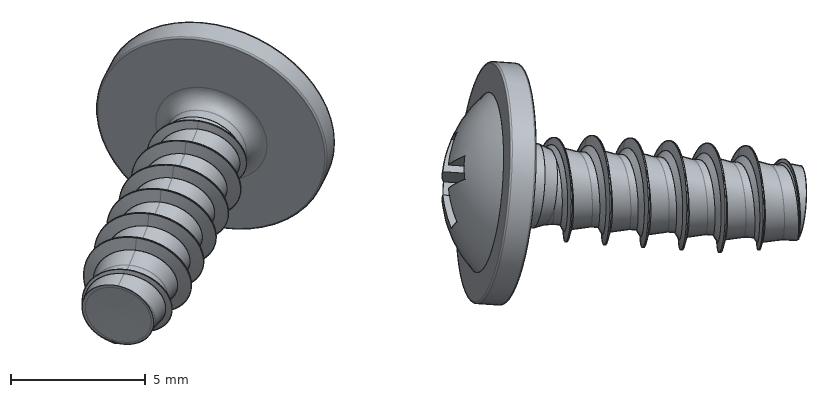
import cadquery as cq
import math


flange_diameter = 9.0
flange_radius = flange_diameter / 2
flange_thickness = 0.99
flange_edge_round = 0.07
dome_base_radius = 3.35
dome_height = 1.46

recess_slot_width = 0.9
recess_span_radius = 1.73
recess_depth = dome_height

shank_length = 11.0
neck_radius = 1.57
neck_length = 1.0
underhead_fillet = 0.6
root_radius = 1.38
neck_cone_length = 0.59
neck_cone_overlap = 0.03
tip_dish_radius = 1.29
tip_dish_depth = 0.08

pitch = 1.46
crest_radius = 2.01
entry_crest_radius = 1.53
faded_crest_radius = 1.42
ramp_start_radius = 1.53
kink_radius = 1.64
foot_setback = 0.3
kink_setback = 0.11
crest_width = 0.05
ramp_start_offset = 0.16
ramp_end_offset = 0.89
ramp_fade_share = 0.6
thread_start = 0.05
start_angle = math.pi / 2

rise_turns = 1.6
fade_start_turn = 6.1
fade_end_turn = 7.5

first_turn = -1
last_turn = 8
points_per_turn = 24


def head_and_neck():
    """Flange, dome, filleted neck and the cone that leads into the thread."""
    dome_radius = (dome_base_radius**2 + dome_height**2) / (2 * dome_height)
    dome_mid_radius = dome_base_radius / 2
    dome_drop = dome_radius - math.sqrt(dome_radius**2 - dome_mid_radius**2)
    apex = -flange_thickness - dome_height
    fillet_mid = underhead_fillet * (1 - math.sqrt(0.5))
    cone_end = neck_length + neck_cone_length

    flange = (
        cq.Workplane("XY")
        .circle(flange_radius)
        .extrude(-flange_thickness)
        .edges()
        .fillet(flange_edge_round)
    )
    body = (
        cq.Workplane("XZ")
        .moveTo(0, apex)
        .threePointArc((dome_mid_radius, apex + dome_drop), (dome_base_radius, -flange_thickness))
        .lineTo(neck_radius + underhead_fillet, -flange_thickness)
        .lineTo(neck_radius + underhead_fillet, 0)
        .threePointArc((neck_radius + fillet_mid, fillet_mid), (neck_radius, underhead_fillet))
        .lineTo(neck_radius, neck_length)
        .lineTo(root_radius - neck_cone_overlap, cone_end)
        .lineTo(0, cone_end)
        .close()
        .revolve(360, (0, 0, 0), (0, 1, 0))
    )
    return flange.union(body)


def crest_radius_at(turns):
    rise = min(max(turns / rise_turns, 0), 1)
    fall = min(max((turns - fade_start_turn) / (fade_end_turn - fade_start_turn), 0), 1)
    risen = entry_crest_radius + (crest_radius - entry_crest_radius) * rise
    return risen + (faded_crest_radius - crest_radius) * fall


def thread_section(turns):
    """Corners (radius, axial offset from the crest) from the head-side foot to the ramp's end."""
    crest = crest_radius_at(turns)
    height_share = (crest - root_radius) / (crest_radius - root_radius)
    ramp_share = min(1, height_share / ramp_fade_share)
    half_width = crest_width / 2 * height_share
    return [
        (root_radius, -foot_setback * height_share),
        (root_radius + (kink_radius - root_radius) * height_share, -kink_setback * height_share),
        (crest, -half_width),
        (crest, half_width),
        (root_radius + (ramp_start_radius - root_radius) * ramp_share, ramp_start_offset * height_share),
        (root_radius, ramp_end_offset),
    ]


def helix_point(turns, radius, offset):
    angle = start_angle + 2 * math.pi * turns
    height = thread_start + pitch * turns + offset
    return cq.Vector(radius * math.cos(angle), radius * math.sin(angle), height)


def section_points(turns):
    return [helix_point(turns, *corner) for corner in thread_section(turns)]


def turn_edges(turn):
    """One curve per section corner, running once around the axis."""
    steps = range(points_per_turn + 1)
    sections = [section_points(turn + i / points_per_turn) for i in steps]
    return [cq.Edge.makeSpline(list(corner_path)) for corner_path in zip(*sections)]


def on_axis(point):
    return cq.Vector(0, 0, point.z)


def spiral_end(rim):
    """Helicoid from a one-turn rim curve to the axis."""
    axis_line = cq.Edge.makeLine(on_axis(rim.startPoint()), on_axis(rim.endPoint()))
    return cq.Face.makeRuledSurface(rim, axis_line)


def radial_step(points):
    """Flat face in a plane through the axis, closing the step of a spiral end."""
    outline = [on_axis(points[0]), *points, on_axis(points[-1])]
    return cq.Face.makeFromWires(cq.Wire.makePolygon(outline, close=True))


def threaded_body():
    """Root and right-handed thread as one solid, trimmed flat at the neck and at the tip."""
    turns = [turn_edges(turn) for turn in range(first_turn, last_turn)]
    faces = []
    for edges in turns:
        for edge, next_edge in zip(edges, edges[1:]):
            faces.append(cq.Face.makeRuledSurface(edge, next_edge))
    for edges, next_edges in zip(turns, turns[1:]):
        faces.append(cq.Face.makeRuledSurface(edges[-1], next_edges[0]))

    first_rim = turns[0][0]
    last_rim = turns[-1][-1]
    faces.append(spiral_end(first_rim))
    faces.append(spiral_end(last_rim))
    faces.append(radial_step(section_points(first_turn) + [first_rim.endPoint()]))
    faces.append(radial_step([last_rim.startPoint()] + section_points(last_turn)))

    body = cq.Workplane(cq.Solid.makeSolid(cq.Shell.makeShell(faces)))
    threaded_stretch = (
        cq.Workplane("XY", origin=(0, 0, neck_length))
        .circle(2 * crest_radius)
        .extrude(shank_length - neck_length)
    )
    return body.intersect(threaded_stretch)


def cross_recess():
    apex = -flange_thickness - dome_height
    span = 2 * recess_span_radius
    top = cq.Workplane("XY", origin=(0, 0, apex))
    slot = top.rect(span, recess_slot_width).extrude(recess_depth)
    cross_slot = top.rect(recess_slot_width, span).extrude(recess_depth)
    return slot.union(cross_slot)


def tip_dish():
    """Shallow cone hollowed into the tip face."""
    floor = cq.Vector(0, 0, shank_length - tip_dish_depth)
    return cq.Workplane(cq.Solid.makeCone(0, tip_dish_radius, tip_dish_depth, pnt=floor))


screw = head_and_neck().union(threaded_body()).cut(cross_recess()).cut(tip_dish())
result = screw.rotate((0, 0, 0), (1, 0, 0), 90).solids()